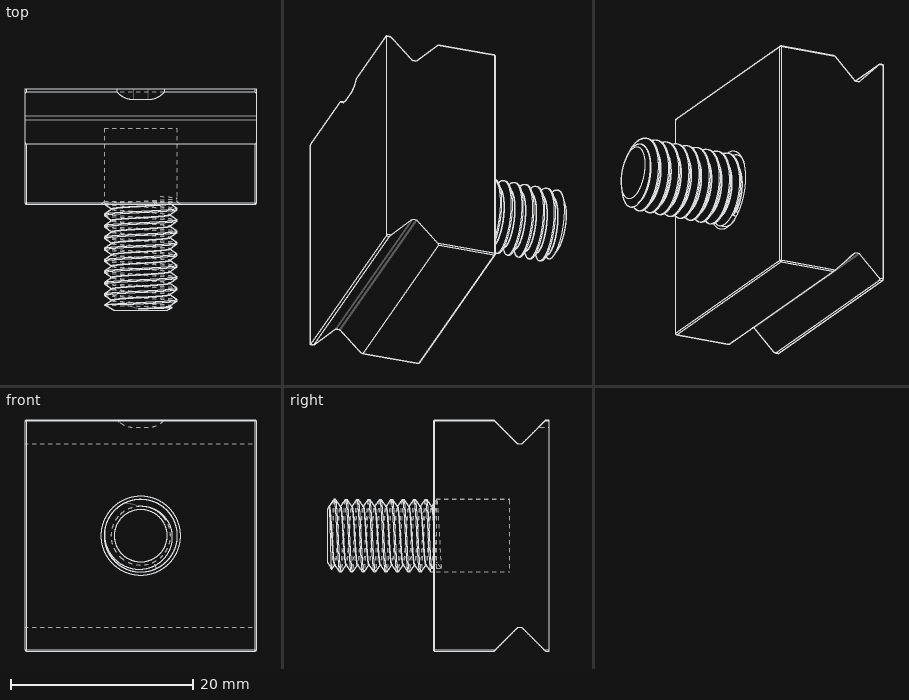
import cadquery as cq
import math

INCH = 25.4
block_width = INCH
block_depth = INCH / 2
edge_chamfer = 0.15

groove_setback = 3.22
groove_depth = 2.62
groove_floor_width = 0.48
groove_floor_radius = 0.15

notch_depth = 0.83
notch_floor_width = 1.6
notch_corner_radius = 2.35

stud_length = 20.0
stud_reach = 11.63
tip_diameter = 5.77
tip_chamfer_length = 0.65
mouth_diameter = 8.7

thread_diameter = 8.0
thread_pitch = 1.25
crest_flat = 0.15
root_flat = 0.06
root_radius = 3.24
cutter_overshoot = 0.05
thread_turn = -45
seam_angle = 240

half_width = block_width / 2
thread_radius = thread_diameter / 2
seat_depth = stud_length - stud_reach
mouth_depth = (mouth_diameter - thread_diameter) / 2


def make_block_body():
    """Square plate, chamfered round the mounting face and along the four X-end edges at +-Z."""
    plate = cq.Workplane("XY").box(block_width, block_depth, block_width)
    plate = plate.translate((0, block_depth / 2, 0))
    return plate.edges("<Y or |Y").chamfer(edge_chamfer)


def make_groove(side):
    """Cutter for the 45 degree flat-bottomed groove along X; side is +1 (top) or -1 (bottom)."""
    centre = block_depth - groove_setback
    half_floor = groove_floor_width / 2
    half_mouth = half_floor + groove_depth
    floor_z = side * (half_width - groove_depth)
    mouth_z = side * half_width
    outline = [
        (centre - half_floor, floor_z),
        (centre + half_floor, floor_z),
        (centre + half_mouth, mouth_z),
        (centre - half_mouth, mouth_z),
    ]
    groove = cq.Workplane("YZ").polyline(outline).close().extrude(half_width, both=True)
    floor_edges = groove.faces("<Z" if side > 0 else ">Z").edges("|X")
    return floor_edges.fillet(groove_floor_radius)


def make_notch():
    """Cutter for the shallow round-cornered notch across the middle of the top ridge."""
    floor_z = half_width - notch_depth
    half_floor = notch_floor_width / 2
    rise = notch_corner_radius - notch_depth
    half_mouth = half_floor + math.sqrt(notch_corner_radius ** 2 - rise ** 2)
    half_turn = math.acos(rise / notch_corner_radius) / 2
    mid_x = half_floor + notch_corner_radius * math.sin(half_turn)
    mid_z = floor_z + notch_corner_radius * (1 - math.cos(half_turn))
    profile = (
        cq.Workplane("XZ", origin=(0, block_depth, 0))
        .moveTo(-half_floor, floor_z)
        .lineTo(half_floor, floor_z)
        .threePointArc((mid_x, mid_z), (half_mouth, half_width))
        .lineTo(-half_mouth, half_width)
        .threePointArc((-mid_x, mid_z), (-half_floor, floor_z))
        .close()
    )
    return profile.extrude(groove_setback)


def make_stud_hole():
    """Blind hole for the stud with a 45 degree countersink at the mounting face."""
    outline = [
        (0, 0),
        (mouth_diameter / 2, 0),
        (thread_radius, mouth_depth),
        (thread_radius, seat_depth),
        (0, seat_depth),
    ]
    return cq.Workplane("XY").polyline(outline).close().revolve(360, (0, 0), (0, 1))


def make_block():
    block = make_block_body()
    for side in (1, -1):
        block = block.cut(make_groove(side))
    return block.cut(make_notch()).cut(make_stud_hole())


def make_thread_groove():
    """Cutter for the right-hand thread along +Y, from beyond the tip to the countersink."""
    run_length = stud_reach + thread_pitch
    path = cq.Wire.makeHelix(thread_pitch, run_length, root_radius)

    half_root = root_flat / 2
    half_mouth = (thread_pitch - crest_flat) / 2
    flank_slope = (half_mouth - half_root) / (thread_radius - root_radius)
    outer_radius = thread_radius + cutter_overshoot
    half_outer = half_mouth + flank_slope * cutter_overshoot
    outline = [
        (root_radius, -half_root),
        (root_radius, half_root),
        (outer_radius, half_outer),
        (outer_radius, -half_outer),
    ]
    profile = cq.Workplane("XZ").polyline(outline).close()
    groove = profile.sweep(cq.Workplane(obj=path), isFrenet=True)

    groove = groove.rotate((0, 0, 0), (1, 0, 0), -90)
    return groove.translate((0, mouth_depth - run_length, 0))


def make_stud():
    """Threaded stud with a conical tip; its plain end fills the hole in the block."""
    tip_y = -stud_reach
    outline = [
        (0, tip_y),
        (tip_diameter / 2, tip_y),
        (thread_radius, tip_y + tip_chamfer_length),
        (thread_radius, seat_depth),
        (0, seat_depth),
    ]
    blank = cq.Workplane("XY").polyline(outline).close().revolve(360, (0, 0), (0, 1))
    blank = blank.rotate((0, 0, 0), (0, 1, 0), seam_angle)
    stud = blank.cut(make_thread_groove())
    return stud.rotate((0, 0, 0), (0, 1, 0), thread_turn)


block = make_block()
stud = make_stud()

result = cq.Compound.makeCompound([*block.solids().vals(), *stud.solids().vals()])